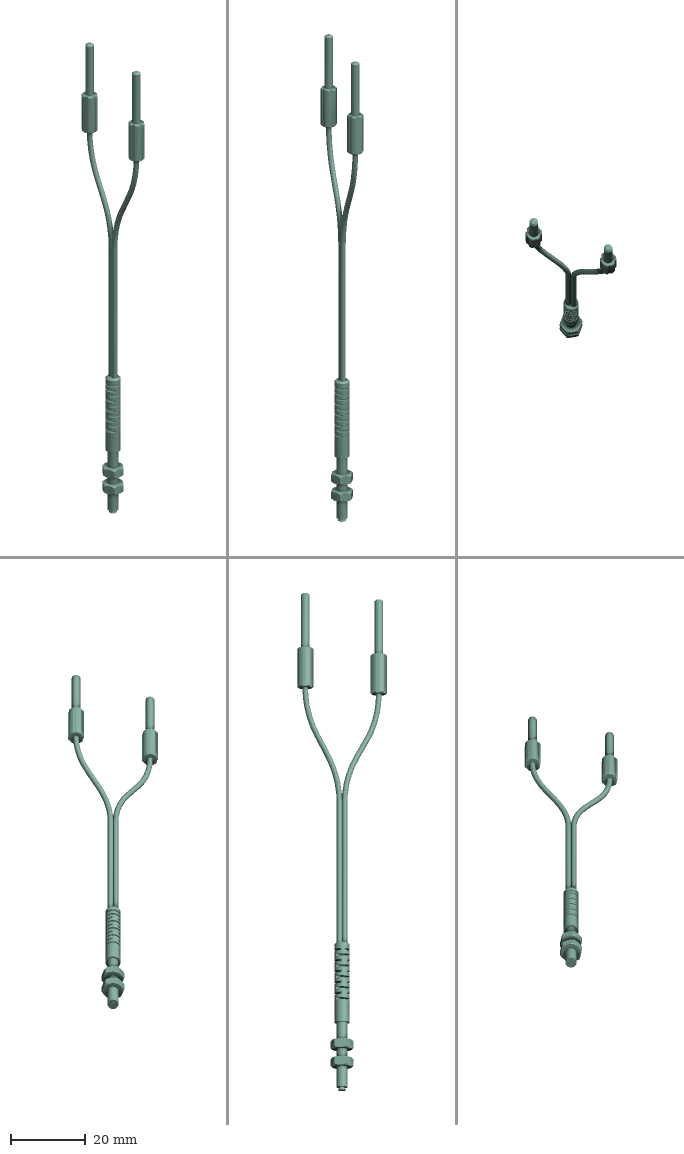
import cadquery as cq
import math

total_height = 135.4

lens_diameter = 2.2
lens_neck_diameter = 1.4
shank_bottom = 0.8
shank_diameter = 3.0

nut_corner_diameter = 6.2
nut_thickness = 2.5
nut_chamfer = 0.4
lower_nut_bottom = 6.4
nut_pitch = 4.9
nut_count = 2

sleeve_diameter = 4.0
sleeve_bottom = 18.5
sleeve_top = 40.4
sleeve_edge_chamfer = 0.4
slot_count = 10
slot_height = 0.5
first_slot_height = 24.8
last_slot_height = 38.3
slot_pitch = (last_slot_height - first_slot_height) / (slot_count - 1)
core_width_x = 1.6
core_width_y = 1.1
ring_groove_depth = 0.4

cable_diameter = 1.5
cable_offset = 0.73
split_height = 78.8
branch_offset = 10.5
bend_angle = math.radians(30)

grip_bottom = 109.5
grip_top = 120.4
grip_diameter = 4.3
grip_chamfer = 0.3
flute_count = 6
flute_width = 1.0
flute_depth = 0.3
pin_diameter = 2.3
pin_chamfer_height = 0.5
pin_chamfer_width = 0.4


def cylinder(diameter, bottom, top):
    """Upright cylinder on the Z axis."""
    return cq.Workplane("XY").workplane(offset=bottom).circle(diameter / 2).extrude(top - bottom)


def make_nut(bottom):
    """Hexagon nut whose corners are bevelled at both faces."""
    top = bottom + nut_thickness
    bevel = cylinder(nut_corner_diameter, bottom, top).edges().chamfer(nut_chamfer)
    prism = cq.Workplane("XY").polygon(6, nut_corner_diameter).extrude(nut_thickness)
    prism = prism.rotate((0, 0, 0), (0, 0, 1), 90).translate((0, 0, bottom))
    return prism.intersect(bevel)


def make_shank():
    """Round shank with the lens button flaring out below it."""
    shank = cylinder(shank_diameter, shank_bottom, sleeve_bottom)
    lens = cq.Workplane("XY").circle(lens_diameter / 2).workplane(offset=shank_bottom)
    return shank.union(lens.circle(lens_neck_diameter / 2).loft())


def make_slot_pair(core_width):
    """Two slot cutters on opposite Y sides that leave a core of the given width."""
    depth = sleeve_diameter - core_width
    centres = [(0, sleeve_diameter / 2), (0, -sleeve_diameter / 2)]
    return cq.Workplane("XY").pushPoints(centres).box(2 * sleeve_diameter, depth, slot_height)


def make_sleeve():
    """Sleeve with opposed slots that alternate between the Y and X sides."""
    sleeve = cylinder(sleeve_diameter, sleeve_bottom, sleeve_top)
    sleeve = sleeve.faces(">Z").edges().chamfer(sleeve_edge_chamfer)
    y_slots = make_slot_pair(core_width_y)
    x_slots = make_slot_pair(core_width_x).rotate((0, 0, 0), (0, 0, 1), 90)
    for index in range(slot_count):
        slots = x_slots if index % 2 else y_slots
        sleeve = sleeve.cut(slots.translate((0, 0, first_slot_height + index * slot_pitch)))
    groove_bottom = last_slot_height - slot_height / 2
    groove_top = groove_bottom + slot_height
    ring = cylinder(sleeve_diameter, groove_bottom, groove_top)
    ring = ring.cut(cylinder(sleeve_diameter - 2 * ring_groove_depth, groove_bottom, groove_top))
    return sleeve.cut(ring)


def make_cable():
    """Right-hand cable: straight, then an S-bend of arc, line and arc out to the plug."""
    shift = branch_offset - cable_offset
    rise = grip_bottom - split_height
    sine = math.sin(bend_angle)
    cosine = math.cos(bend_angle)
    radius = (rise * sine - shift * cosine) / (2 * (1 - cosine))
    arc_shift = radius * (1 - cosine)
    arc_rise = radius * sine
    mid_shift = radius * (1 - math.cos(bend_angle / 2))
    mid_rise = radius * math.sin(bend_angle / 2)
    path = (
        cq.Workplane("XZ")
        .moveTo(cable_offset, sleeve_top)
        .lineTo(cable_offset, split_height)
        .threePointArc(
            (cable_offset + mid_shift, split_height + mid_rise),
            (cable_offset + arc_shift, split_height + arc_rise),
        )
        .lineTo(branch_offset - arc_shift, grip_bottom - arc_rise)
        .threePointArc(
            (branch_offset - mid_shift, grip_bottom - mid_rise),
            (branch_offset, grip_bottom),
        )
    )
    section = cq.Workplane("XY").workplane(offset=sleeve_top).center(cable_offset, 0)
    return section.circle(cable_diameter / 2).sweep(path)


def make_pin():
    """Round pin with a steep chamfer at its end."""
    pin = cylinder(pin_diameter, grip_bottom, total_height)
    return pin.faces(">Z").chamfer(pin_chamfer_width, pin_chamfer_height)


def make_plug():
    """Right-hand plug: round grip with lengthwise flutes and a pin above it."""
    grip = cylinder(grip_diameter, grip_bottom, grip_top).edges().chamfer(grip_chamfer)
    flutes = (
        cq.Workplane("XY")
        .workplane(offset=grip_bottom)
        .polarArray(grip_diameter / 2, 0, 360, flute_count)
        .rect(2 * flute_depth, flute_width)
        .extrude(grip_top - grip_bottom)
    )
    return grip.cut(flutes).union(make_pin()).translate((branch_offset, 0, 0))


branch = make_cable().union(make_plug())
result = make_shank().union(make_sleeve()).union(branch).union(branch.mirror("YZ"))
for nut_index in range(nut_count):
    result = result.union(make_nut(lower_nut_bottom + nut_index * nut_pitch))